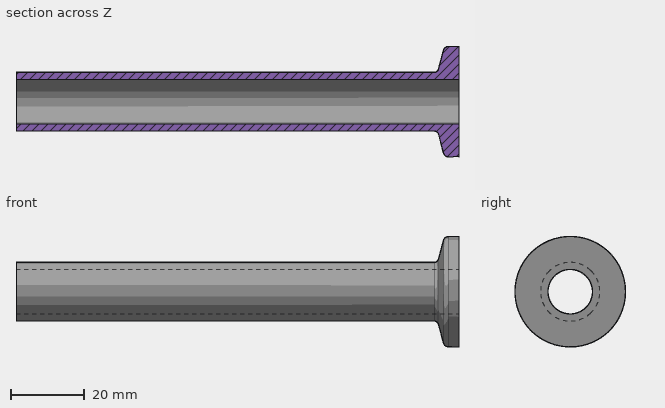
import cadquery as cq
import math

overall_length = 120.0
tube_diameter = 16.0
bore_diameter = 12.0

flange_diameter = 30.0
rim_width = 4.0
back_angle = 15.0
rim_fillet = 1.5
root_fillet = 1.0

tube_radius = tube_diameter / 2
bore_radius = bore_diameter / 2
flange_radius = flange_diameter / 2

tube_end_x = -overall_length / 2
flange_face_x = overall_length / 2
rim_back_x = flange_face_x - rim_width
taper_width = (flange_radius - tube_radius) * math.tan(math.radians(back_angle))
root_x = rim_back_x - taper_width


def ring_edge(body, x, radius):
    """Select the circular edge of the given radius that lies at position x."""
    tolerance = 0.01
    corner = (x - tolerance, -radius - tolerance, -radius - tolerance)
    opposite_corner = (x + tolerance, radius + tolerance, radius + tolerance)
    return body.edges(cq.selectors.BoxSelector(corner, opposite_corner, boundingbox=True))


def sharp_ferrule():
    """Revolve the half section of the bored tube and flange about the X axis."""
    half_section = [
        (tube_end_x, bore_radius),
        (tube_end_x, tube_radius),
        (root_x, tube_radius),
        (rim_back_x, flange_radius),
        (flange_face_x, flange_radius),
        (flange_face_x, bore_radius),
    ]
    return cq.Workplane("XY").polyline(half_section).close().revolve(360, (0, 0, 0), (1, 0, 0))


def round_flange(body):
    """Round the outer back corner of the flange and its root on the tube."""
    body = ring_edge(body, rim_back_x, flange_radius).fillet(rim_fillet)
    return ring_edge(body, root_x, tube_radius).fillet(root_fillet)


result = round_flange(sharp_ferrule())